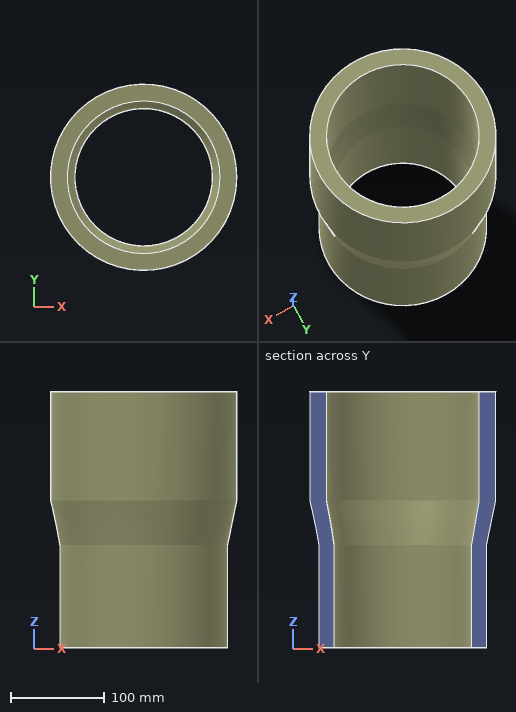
import cadquery as cq

total_length = 275.0
lower_length = 110.0
taper_length = 48.0
taper_top = lower_length + taper_length

upper_outer_radius = 200.0 / 2
upper_wall = 18.2
lower_outer_radius = 180.0 / 2
lower_wall = 16.5


def stepped_body(lower_radius, upper_radius):
    """Solid of revolution: lower cylinder, cone, upper cylinder."""
    return (
        cq.Workplane("XZ")
        .lineTo(lower_radius, 0)
        .lineTo(lower_radius, lower_length)
        .lineTo(upper_radius, taper_top)
        .lineTo(upper_radius, total_length)
        .lineTo(0, total_length)
        .close()
        .revolve(360, (0, 0, 0), (0, 1, 0))
    )


outside = stepped_body(lower_outer_radius, upper_outer_radius)
bore = stepped_body(lower_outer_radius - lower_wall, upper_outer_radius - upper_wall)
result = outside.cut(bore)